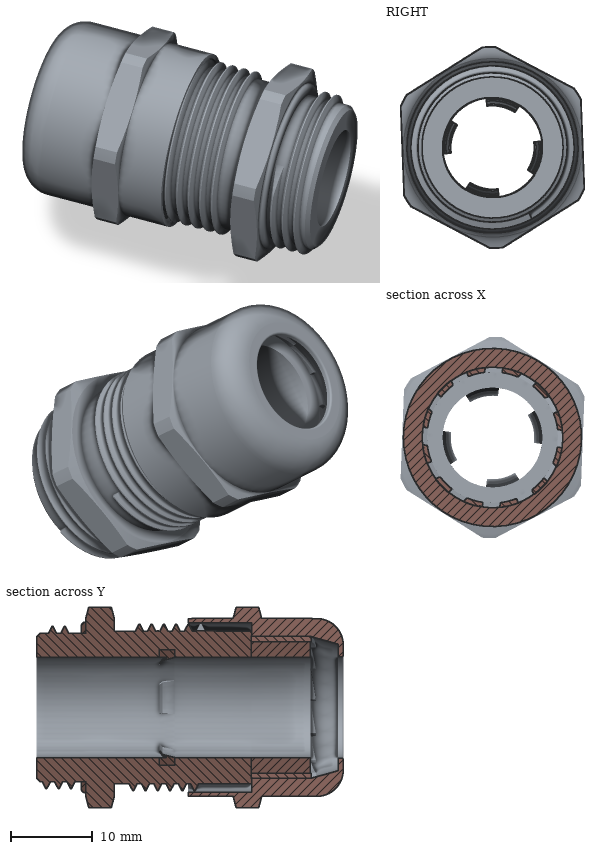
import cadquery as cq
import math


BORE_DIA = 12.17
CAVITY_DIA = 17.27
CROWN_INNER_DIA = 15.95

HEX_FLATS = 22.03
HEX_CORNER_DIA = 24.57
HEX_TURN = 2.2
HEX_BEVEL_ANGLE = 15
HEX_BEVEL_DIA = 21.8
HEX_LENGTH = 3.52

NUT_DIA = 21.8
NUT_LENGTH = 18.95
NUT_NOSE_RADIUS = 3.3
NUT_HEX_START = 9.95
LIP_DIA = 12.3
LIP_ENTRY_DIA = 12.77
LIP_DEPTH = 0.67
FUNNEL_DIA = 15.4
NUT_THREAD_BORE_DIA = 20.68
SEAT_X = 11.25

TOTAL_LENGTH = 37.45
NECK_DIA = 18.73
BODY_HEX_START = 27.95
BODY_HEX_END = BODY_HEX_START + HEX_LENGTH
SPIGOT_DIA = 18.2
SPIGOT_CHAMFER = 0.5

PITCH = 1.5
NECK_CREST_DIA = 20.38
SPIGOT_CREST_DIA = 19.93
THREAD_ROOT_WIDTH = 0.97
FLANK_SLOPE = 0.5
THREAD_SINK = 0.22
NECK_THREAD_START = 17.42
NECK_THREAD_TURNS = 5.6
NECK_THREAD_ANGLE = 0
SPIGOT_THREAD_START = 32.78
SPIGOT_THREAD_TURNS = 2.4
SPIGOT_THREAD_ANGLE = 65
LEAD_IN_ANGLE = 23
LEAD_IN_STEPS = 4

GASKET_DIA = 20.9
GASKET_THICKNESS = 0.55

CROWN_START = 3.3
SLEEVE_START = 4.05
TOOTH_COUNT = 12
TOOTH_TURN = 10

SPRING_START = 20.6
SPRING_RING_LENGTH = 1.87
SPRING_RING_DIA = 14.1
TONGUE_COUNT = 4
TONGUE_SPAN = 40
TONGUE_START = -32.5
TONGUE_TIP_RADIUS = 5.1
TONGUE_BEND_RADIUS = 5.7
TONGUE_THICKNESS = 0.22
TONGUE_TIP_LENGTH = 0.37

X_AXIS = ((0, 0, 0), (1, 0, 0))


def tube(start, end, outer_dia, inner_dia):
    """Ring along X between two stations."""
    rings = cq.Workplane("YZ", origin=(start, 0, 0)).circle(outer_dia / 2).circle(inner_dia / 2)
    return rings.extrude(end - start)


def rod(start, end, dia):
    return cq.Workplane("YZ", origin=(start, 0, 0)).circle(dia / 2).extrude(end - start)


def revolve(points):
    """Revolve a closed outline of (x, radius) points about X."""
    return cq.Workplane("XZ").polyline(points).close().revolve(360, *X_AXIS)


def hexagon(start):
    """Hexagon with rounded corners and a conical bevel on both ends."""
    end = start + HEX_LENGTH
    bevel_radius = HEX_BEVEL_DIA / 2
    corner_radius = HEX_CORNER_DIA / 2
    bevel = (corner_radius - bevel_radius) * math.tan(math.radians(HEX_BEVEL_ANGLE))
    envelope = revolve([
        (start, 0),
        (start, bevel_radius),
        (start + bevel, corner_radius),
        (end - bevel, corner_radius),
        (end, bevel_radius),
        (end, 0),
    ])
    prism = cq.Workplane("YZ", origin=(start, 0, 0)).polygon(6, HEX_FLATS, circumscribed=True)
    prism = prism.extrude(HEX_LENGTH).rotate(*X_AXIS, HEX_TURN)
    return prism.intersect(envelope)


def thread_section(x, angle, core_radius, height):
    """Closed thread outline at an angle from +Z towards -Y, standing on the core."""
    turn = math.radians(angle)
    foot = core_radius - THREAD_SINK
    half_root = THREAD_ROOT_WIDTH / 2
    half_foot = half_root + FLANK_SLOPE * THREAD_SINK
    half_crest = half_root - FLANK_SLOPE * height
    crest = core_radius + height
    outline = [
        (x - half_foot, foot),
        (x - half_crest, crest),
        (x + half_crest, crest),
        (x + half_foot, foot),
    ]
    corners = [cq.Vector(px, -r * math.sin(turn), r * math.cos(turn)) for px, r in outline]
    return cq.Wire.makePolygon(corners, close=True)


def thread(start, turns, angle, core_dia, crest_dia):
    """Right-handed ridge whose middle starts at x = start."""
    height = (crest_dia - core_dia) / 2
    path = cq.Wire.makeHelix(PITCH, turns * PITCH, core_dia / 2)
    path = path.rotate(cq.Vector(0, 0, 0), cq.Vector(0, 1, 0), 90)
    path = path.rotate(cq.Vector(0, 0, 0), cq.Vector(1, 0, 0), 180 + angle)
    path = path.translate(cq.Vector(start, 0, 0))
    first = path.startPoint()
    angle_of_first = math.degrees(math.atan2(-first.y, first.z))
    section = thread_section(start, angle_of_first, core_dia / 2, height)
    return cq.Workplane(cq.Solid.sweep(section, [], path, True, True))


def spigot_lead_in():
    """Stretch over which the spigot thread rises from the core to full height."""
    full_height = (SPIGOT_CREST_DIA - SPIGOT_DIA) / 2
    sections = []
    for step in range(LEAD_IN_STEPS + 1):
        share = step / LEAD_IN_STEPS
        back = (1 - share) * LEAD_IN_ANGLE
        x = SPIGOT_THREAD_START - PITCH * back / 360
        height = share * full_height
        sections.append(thread_section(x, SPIGOT_THREAD_ANGLE - back, SPIGOT_DIA / 2, height))
    return cq.Workplane(cq.Solid.makeLoft(sections, True))


def make_nut():
    shell = rod(0, NUT_LENGTH, NUT_DIA).faces("<X").edges().fillet(NUT_NOSE_RADIUS)
    shell = shell.union(hexagon(NUT_HEX_START))
    shell = shell.cut(rod(0, LIP_DEPTH, LIP_DIA))
    cavity = revolve([
        (LIP_DEPTH, 0),
        (LIP_DEPTH, FUNNEL_DIA / 2),
        (SLEEVE_START, CAVITY_DIA / 2),
        (SEAT_X, CAVITY_DIA / 2),
        (SEAT_X, 0),
    ])
    shell = shell.cut(cavity)
    shell = shell.cut(rod(SEAT_X, NUT_LENGTH, NUT_THREAD_BORE_DIA))
    entry_radius = (LIP_ENTRY_DIA - LIP_DIA) / 2
    lip_edge = cq.selectors.RadiusNthSelector(0)
    return shell.faces("<X").edges(lip_edge).fillet(entry_radius)


def make_body():
    core = rod(SEAT_X, BODY_HEX_START, NECK_DIA)
    core = core.union(hexagon(BODY_HEX_START))
    spigot = rod(BODY_HEX_END, TOTAL_LENGTH, SPIGOT_DIA).faces(">X").chamfer(SPIGOT_CHAMFER)
    core = core.union(spigot)
    core = core.cut(rod(SEAT_X, TOTAL_LENGTH, BORE_DIA))
    core = core.cut(rod(SPRING_START, SPRING_START + SPRING_RING_LENGTH, SPRING_RING_DIA))
    core = core.union(thread(
        NECK_THREAD_START, NECK_THREAD_TURNS, NECK_THREAD_ANGLE, NECK_DIA, NECK_CREST_DIA))
    core = core.union(thread(
        SPIGOT_THREAD_START, SPIGOT_THREAD_TURNS, SPIGOT_THREAD_ANGLE, SPIGOT_DIA, SPIGOT_CREST_DIA))
    return core.union(spigot_lead_in())


def make_gasket():
    rim_radius = GASKET_DIA / 2
    end = BODY_HEX_END + GASKET_THICKNESS
    arc_drop = GASKET_THICKNESS * math.sqrt(0.5)
    arc_middle = (BODY_HEX_END + arc_drop, rim_radius - GASKET_THICKNESS + arc_drop)
    return (
        cq.Workplane("XZ")
        .moveTo(BODY_HEX_END, SPIGOT_DIA / 2)
        .lineTo(BODY_HEX_END, rim_radius)
        .threePointArc(arc_middle, (end, rim_radius - GASKET_THICKNESS))
        .lineTo(end, SPIGOT_DIA / 2)
        .close()
        .revolve(360, *X_AXIS)
    )


def make_crown():
    """Ring that fills the nut cavity and whose front edge is a row of saw teeth."""
    inner_radius = CROWN_INNER_DIA / 2
    funnel_slope = (CAVITY_DIA - FUNNEL_DIA) / 2 / (SLEEVE_START - LIP_DEPTH)
    tip_radius = FUNNEL_DIA / 2 + funnel_slope * (CROWN_START - LIP_DEPTH)
    crown = revolve([
        (CROWN_START, inner_radius),
        (CROWN_START, tip_radius),
        (SLEEVE_START, CAVITY_DIA / 2),
        (SEAT_X, CAVITY_DIA / 2),
        (SEAT_X, inner_radius),
    ])
    tooth_half = CAVITY_DIA / 2 * math.tan(math.pi / TOOTH_COUNT)
    gap = (
        cq.Workplane("XY")
        .polyline([
            (CROWN_START, -tooth_half),
            (CROWN_START, tooth_half),
            (SLEEVE_START, tooth_half),
        ])
        .close()
        .extrude(CAVITY_DIA)
    )
    for tooth in range(TOOTH_COUNT):
        crown = crown.cut(gap.rotate(*X_AXIS, TOOTH_TURN + tooth * 360 / TOOTH_COUNT))
    return crown


def make_sleeve():
    return tube(SLEEVE_START, SEAT_X, CROWN_INNER_DIA, BORE_DIA)


def make_spring():
    """Ring with bent tongues reaching into the bore."""
    end = SPRING_START + SPRING_RING_LENGTH
    spring = tube(SPRING_START, end, SPRING_RING_DIA, BORE_DIA)
    ring_radius = BORE_DIA / 2
    bend_x = end - TONGUE_TIP_LENGTH
    tongue = (
        cq.Workplane("XZ")
        .polyline([
            (SPRING_START, ring_radius + TONGUE_THICKNESS),
            (SPRING_START, ring_radius),
            (bend_x, TONGUE_BEND_RADIUS),
            (end, TONGUE_TIP_RADIUS),
            (end, TONGUE_TIP_RADIUS + TONGUE_THICKNESS),
            (bend_x, TONGUE_BEND_RADIUS + TONGUE_THICKNESS),
            (SPRING_START + TONGUE_TIP_LENGTH, ring_radius + TONGUE_THICKNESS),
        ])
        .close()
        .revolve(TONGUE_SPAN, *X_AXIS)
        .rotate(*X_AXIS, TONGUE_START)
    )
    for index in range(TONGUE_COUNT):
        spring = spring.union(tongue.rotate(*X_AXIS, index * 360 / TONGUE_COUNT))
    return spring


nut = make_nut()
body = make_body()
gasket = make_gasket()
crown = make_crown()
sleeve = make_sleeve()
spring = make_spring()

result = cq.Compound.makeCompound([
    nut.solids().val(),
    body.solids().val(),
    gasket.solids().val(),
    crown.solids().val(),
    sleeve.solids().val(),
    spring.solids().val(),
])